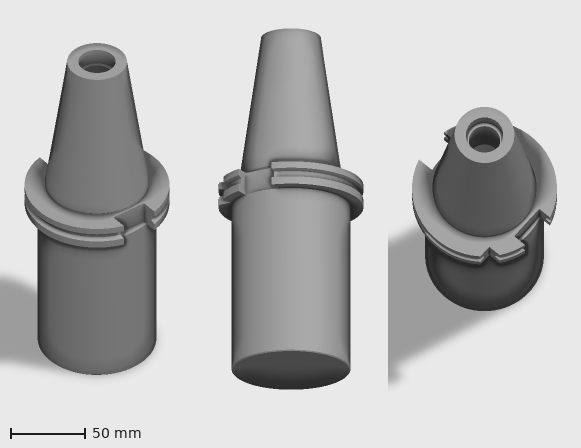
import cadquery as cq
import math

total_height = 236.5
taper_length = 102.2
relief_height = 2.5
flange_height = 15.9
taper_base_z = total_height - taper_length
flange_top_z = taper_base_z - relief_height
flange_bottom_z = flange_top_z - flange_height

body_radius = 80.0 / 2
body_chamfer = 0.7
flange_radius = 97.5 / 2
taper_base_radius = 70.0 / 2
taper_tip_radius = 40.2 / 2
relief_radius = 69.3 / 2
relief_slope_height = 0.5

groove_depth = 3.3
groove_slope_height = 1.2
groove_width = 6.2
upper_rim_height = 4.5
groove_top_z = flange_top_z - upper_rim_height
groove_bottom_z = groove_top_z - groove_width
groove_floor_radius = flange_radius - groove_depth

slot_width = 25.8
left_slot_floor = 37.5
right_slot_floor = 35.3
notch_wall_x = -29.5
notch_wall_y = 29.5

mouth_radius = 25.0 / 2
mouth_depth = 9.7
undercut_radius = 25.5 / 2
undercut_height = 2.0
bore_radius = 21.0 / 2
bore_depth = 47.3
drill_tip_angle = 118.0


def revolve_profile(points):
    """Revolve a closed (radius, z) outline about the Z axis."""
    return cq.Workplane("XZ").polyline(points).close().revolve(360, (0, 0, 0), (0, 1, 0))


def make_holder():
    return revolve_profile([
        (0, 0),
        (body_radius - body_chamfer, 0),
        (body_radius, body_chamfer),
        (body_radius, flange_bottom_z),
        (flange_radius, flange_bottom_z),
        (flange_radius, groove_bottom_z),
        (groove_floor_radius, groove_bottom_z + groove_slope_height),
        (groove_floor_radius, groove_top_z - groove_slope_height),
        (flange_radius, groove_top_z),
        (flange_radius, flange_top_z),
        (taper_base_radius, flange_top_z),
        (relief_radius, flange_top_z + relief_slope_height),
        (relief_radius, taper_base_z - relief_slope_height),
        (taper_base_radius, taper_base_z),
        (taper_tip_radius, total_height),
        (0, total_height),
    ])


def make_bore():
    mouth_z = total_height - mouth_depth
    shoulder_z = mouth_z - undercut_height
    bore_end_z = total_height - bore_depth
    tip_height = bore_radius / math.tan(math.radians(drill_tip_angle / 2))
    return revolve_profile([
        (0, total_height),
        (mouth_radius, total_height),
        (mouth_radius, mouth_z),
        (undercut_radius, mouth_z),
        (undercut_radius, shoulder_z),
        (bore_radius, shoulder_z),
        (bore_radius, bore_end_z),
        (0, bore_end_z - tip_height),
    ])


def flange_cut(x_min, x_max, y_min, y_max):
    """Box through the full flange height between the given limits."""
    return (
        cq.Workplane("XY", origin=(0, 0, flange_bottom_z))
        .moveTo((x_min + x_max) / 2, (y_min + y_max) / 2)
        .rect(x_max - x_min, y_max - y_min)
        .extrude(flange_height)
    )


left_slot = flange_cut(-flange_radius, -left_slot_floor, -slot_width / 2, slot_width / 2)
right_slot = flange_cut(right_slot_floor, flange_radius, -slot_width / 2, slot_width / 2)
notch = flange_cut(-flange_radius, notch_wall_x, notch_wall_y, flange_radius)

result = make_holder().cut(make_bore()).cut(left_slot).cut(right_slot).cut(notch)